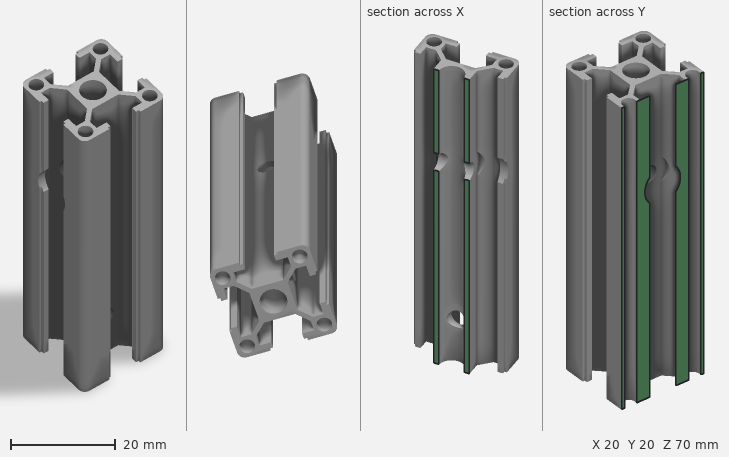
import cadquery as cq
import math

SIDE = 20.0
LENGTH = 70.0
HALF = SIDE / 2
CORNER_RADIUS = 1.5

SLOT_HALF_WIDTH = 3.1
LIP_THICKNESS = 1.7
LIP_STEP_WIDTH = 0.65
LIP_STEP_DEPTH = 0.5
CORNER_BLOCK_INNER = 5.5
WEB_THICKNESS = 1.0
CORE_HALF = 3.85
WEB_OFFSET = WEB_THICKNESS / math.sqrt(2)

CORE_BORE_DIAMETER = 5.3
CORNER_BORE_DIAMETER = 3.0
CORNER_BORE_POSITION = 7.75

CROSS_HOLE_DIAMETER = 4.0
Y_HOLE_HEIGHT = 48.0
X_HOLE_HEIGHT = 10.0
ACCESS_DIAMETER = 8.5
ACCESS_FLOOR = CORE_HALF


def slot_cutter():
    """T-slot opening toward +Y, running the whole length."""
    lip_inner = HALF - LIP_THICKNESS
    step_half_width = SLOT_HALF_WIDTH + LIP_STEP_WIDTH
    right_side = [
        (CORE_HALF - WEB_OFFSET, CORE_HALF),
        (CORNER_BLOCK_INNER, CORNER_BLOCK_INNER + WEB_OFFSET),
        (CORNER_BLOCK_INNER, lip_inner),
        (SLOT_HALF_WIDTH, lip_inner),
        (SLOT_HALF_WIDTH, HALF - LIP_STEP_DEPTH),
        (step_half_width, HALF - LIP_STEP_DEPTH),
        (step_half_width, HALF),
    ]
    left_side = [(-x, y) for x, y in reversed(right_side)]
    return cq.Workplane("XY").polyline(right_side + left_side).close().extrude(LENGTH)


def extrusion():
    """Square bar with a T-slot in each side, a core bore and four corner bores."""
    bar = cq.Workplane("XY").rect(SIDE, SIDE).extrude(LENGTH)
    bar = bar.edges("|Z").fillet(CORNER_RADIUS)
    slot = slot_cutter()
    for angle in (0, 90, 180, 270):
        bar = bar.cut(slot.rotate((0, 0, 0), (0, 0, 1), angle))
    core_bore = cq.Workplane("XY").circle(CORE_BORE_DIAMETER / 2).extrude(LENGTH)
    corner_spacing = 2 * CORNER_BORE_POSITION
    corner_bores = (
        cq.Workplane("XY")
        .rect(corner_spacing, corner_spacing, forConstruction=True)
        .vertices()
        .circle(CORNER_BORE_DIAMETER / 2)
        .extrude(LENGTH)
    )
    return bar.cut(core_bore).cut(corner_bores)


def cross_hole(plane, height):
    """Through hole on the centreline of two opposite slots."""
    return (
        cq.Workplane(plane)
        .center(0, height)
        .circle(CROSS_HOLE_DIAMETER / 2)
        .extrude(HALF, both=True)
    )


def access_bore():
    """Wider bore from the -Y side down to the core, around the Y hole."""
    return (
        cq.Workplane("XZ", origin=(0, -ACCESS_FLOOR, Y_HOLE_HEIGHT))
        .circle(ACCESS_DIAMETER / 2)
        .extrude(HALF - ACCESS_FLOOR)
    )


result = (
    extrusion()
    .cut(cross_hole("XZ", Y_HOLE_HEIGHT))
    .cut(access_bore())
    .cut(cross_hole("YZ", X_HOLE_HEIGHT))
)